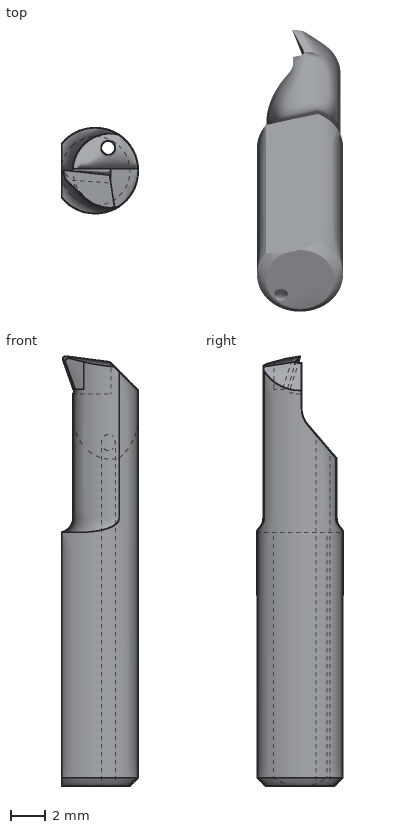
import cadquery as cq
import math

LENGTH = 25.0
SHANK_R = 2.5
FLAT_X = -1.95
BOTTOM_CHAMFER = 0.5

NECK_X = 0.85
NECK_R = 2.15
SHOULDER_Z = 14.75
SHOULDER_FILLET = 0.82

POCKET_Y = 0.1
RAMP_END_Y = 2.15
RAMP_END_Z = 19.02
RAMP_ANGLE = 49.5
RAMP_FILLET = 1.5

TIP_X = -1.85
TIP_BOTTOM_Z = 23.08
TIP_INNER_X = 0.5
FLANK_END = (-0.68, -1.52)
FLANK_SLOPE = -1.05
RELIEF_SLOPE = -0.25
RELIEF_TOP_Y = -0.4
RELIEF_BOTTOM_Y = -1.05
NOSE_R = 0.2
BLANK_EXTRA = 0.75

RAKE_ANGLE = 17.0
RAKE_SKEW = 3.9
NOTCH_END_X = 0.9
NOTCH_LOW_Y = -0.65
NOTCH_BOTTOM_Z = 22.8
NOTCH_FILLET = 0.38

END_RISE = 0.015
END_SLOPE_X = 0.115
END_SLOPE_Y = 0.14
BACK_BEVEL_SUM = 25.5

HOLE_X = 0.75
HOLE_Y = 1.32
HOLE_D = 0.8

CUT = 10.0


def block_above(origin, normal):
    """Large block on the outer side of a plane."""
    plane = cq.Plane(origin=origin, normal=normal)
    return cq.Workplane(plane).rect(2 * CUT, 2 * CUT).extrude(CUT)


def above_end_face():
    """Everything above the sloping end face."""
    return block_above((TIP_X, 0, LENGTH + END_RISE), (END_SLOPE_X, -END_SLOPE_Y, 1))


def make_shank():
    """Full-length round bar with a bottom chamfer and one flat."""
    bar = cq.Workplane("XY").circle(SHANK_R).extrude(LENGTH + CUT)
    bar = bar.faces("<Z").chamfer(BOTTOM_CHAMFER)
    flat = cq.Workplane("XY").box(CUT, CUT, LENGTH + CUT, centered=(False, True, False))
    return bar.intersect(flat.translate((FLAT_X, 0, 0)))


def make_neck_envelope():
    """Turned envelope about the offset neck axis, filleted at the shoulder."""
    fillet_top = SHOULDER_Z + SHOULDER_FILLET
    fillet_r = NECK_R + SHOULDER_FILLET
    mid = SHOULDER_FILLET * (1 - math.sqrt(0.5))
    profile = (
        cq.Workplane("XZ")
        .lineTo(CUT, 0)
        .lineTo(CUT, SHOULDER_Z)
        .lineTo(fillet_r, SHOULDER_Z)
        .threePointArc((NECK_R + mid, SHOULDER_Z + mid), (NECK_R, fillet_top))
        .lineTo(NECK_R, LENGTH + CUT)
        .lineTo(0, LENGTH + CUT)
        .close()
    )
    return profile.revolve(360, (0, 0, 0), (0, 1, 0)).translate((NECK_X, 0, 0))


def flank_x(y):
    """X of the vertical flank plane at a given Y."""
    return FLANK_END[0] + FLANK_SLOPE * (y - FLANK_END[1])


def make_tip():
    """Pointed tip: leaning relief facet, rounded nose and vertical flank."""
    front_y = FLANK_END[1]
    top_x = flank_x(RELIEF_TOP_Y) + RELIEF_SLOPE * (front_y - RELIEF_TOP_Y)
    bottom_x = flank_x(RELIEF_BOTTOM_Y) + RELIEF_SLOPE * (front_y - RELIEF_BOTTOM_Y)
    height = LENGTH - TIP_BOTTOM_Z
    lean = (top_x - bottom_x) / height
    blank_height = height + BLANK_EXTRA

    def section(plan, left_x):
        return plan.polyline([
            (left_x + RELIEF_SLOPE * (POCKET_Y - front_y), POCKET_Y),
            (left_x, front_y),
            (TIP_INNER_X, front_y),
            (TIP_INNER_X, POCKET_Y),
        ]).close()

    plan = section(cq.Workplane("XY").workplane(offset=TIP_BOTTOM_Z), bottom_x)
    plan = section(plan.workplane(offset=blank_height), bottom_x + lean * blank_height)
    tip = plan.loft(ruled=True).cut(above_end_face())

    nose_y = (POCKET_Y + front_y) / 2
    nose_x = top_x + RELIEF_SLOPE * (nose_y - front_y)
    nose = cq.selectors.NearestToPointSelector((nose_x, nose_y, LENGTH))
    tip = tip.edges(nose).fillet(NOSE_R)
    return tip.cut(block_above((*FLANK_END, LENGTH), (-1, FLANK_SLOPE, 0)))


def make_pocket():
    """Chip pocket with a flat floor that blends into a ramp."""
    ramp = math.tan(math.radians(RAMP_ANGLE))
    floor_end_z = RAMP_END_Z + ramp * (RAMP_END_Y - POCKET_Y)
    outer_y = POCKET_Y + CUT
    block = (
        cq.Workplane("YZ")
        .polyline([
            (POCKET_Y, LENGTH + CUT),
            (POCKET_Y, floor_end_z),
            (RAMP_END_Y, RAMP_END_Z),
            (outer_y, RAMP_END_Z),
            (outer_y, LENGTH + CUT),
        ])
        .close()
        .extrude(CUT, both=True)
    )
    corner = cq.selectors.NearestToPointSelector((0, POCKET_Y, floor_end_z))
    return block.edges("|X").edges(corner).fillet(RAMP_FILLET)


def make_notch():
    """Undercut rake face with a rounded foot, closed towards +X."""
    rise = LENGTH + CUT - NOTCH_BOTTOM_Z
    top_y = NOTCH_LOW_Y + rise * math.tan(math.radians(RAKE_ANGLE))
    outer_y = top_y + CUT
    block = (
        cq.Workplane("YZ")
        .polyline([
            (top_y, LENGTH + CUT),
            (NOTCH_LOW_Y, NOTCH_BOTTOM_Z),
            (outer_y, NOTCH_BOTTOM_Z),
            (outer_y, LENGTH + CUT),
        ])
        .close()
        .extrude(CUT, both=True)
        .edges("|X and <Z")
        .edges("<Y")
        .fillet(NOTCH_FILLET)
        .rotate((TIP_X, 0, 0), (TIP_X, 0, 1), -RAKE_SKEW)
    )
    limit = cq.Workplane("XY").box(CUT, CUT, LENGTH + CUT, centered=(False, True, False))
    return block.intersect(limit.translate((NOTCH_END_X - CUT, 0, 0)))


body = make_shank().intersect(make_neck_envelope())
body = body.cut(make_pocket()).cut(above_end_face())
body = body.union(make_tip()).cut(make_notch())

body = body.cut(block_above((0, 0, BACK_BEVEL_SUM), (1, 0, 1)))

hole = cq.Workplane("XY").center(HOLE_X, HOLE_Y).circle(HOLE_D / 2).extrude(LENGTH)
result = body.cut(hole)